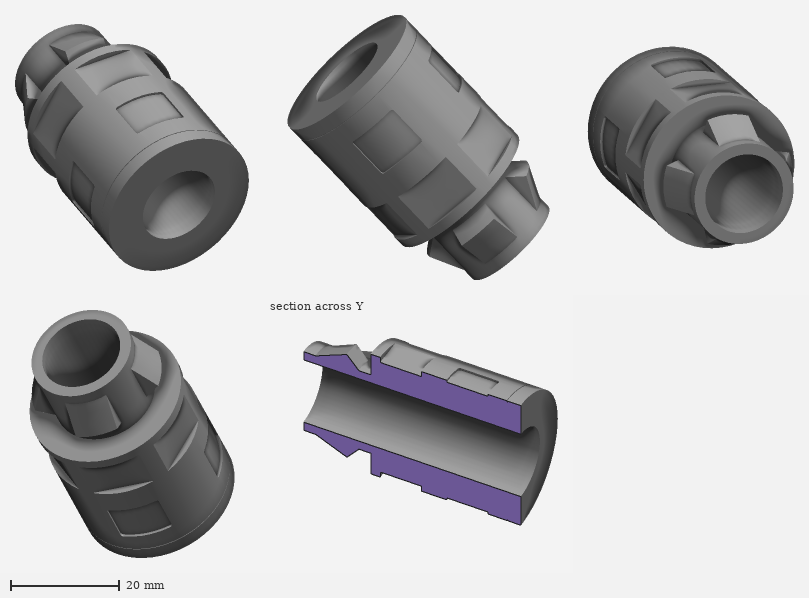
import cadquery as cq

total_length = 45.3
spigot_length = 14.0
flats_start = 16.0
recess_start = 29.85
seam_start = 42.35

bore_diameter = 15.2
spigot_diameter = 19.4
body_diameter = 29.5
recess_floor_diameter = 28.5
seam_floor_diameter = 29.1

flat_count = 6
across_flats = 27.0
flats_length = 8.5

recess_count = 4
recess_length = 8.5
recess_width = 10.0
recess_corner_radius = 0.5

barb_count = 4
barb_width = 8.0
barb_start = 2.5
barb_crest = 9.0
barb_end = 11.5
barb_crest_diameter = 25.3

seam_width = 0.15


def cylinder(diameter, start, length):
    """Solid cylinder on the X axis, beginning at x = start."""
    return cq.Workplane("YZ").workplane(offset=start).circle(diameter / 2).extrude(length)


def around_axis(shape, count):
    """Copies of a shape spaced evenly around the X axis."""
    step = 360 / count
    return [shape.rotate((0, 0, 0), (1, 0, 0), i * step) for i in range(count)]


def make_barb():
    """Barb on the +Z side: a double cone trimmed to a parallel-sided strip."""
    root_radius = bore_diameter / 2
    surface_radius = spigot_diameter / 2
    crest_radius = barb_crest_diameter / 2
    cone = (
        cq.Workplane("XZ")
        .moveTo(barb_start, root_radius)
        .lineTo(barb_start, surface_radius)
        .lineTo(barb_crest, crest_radius)
        .lineTo(barb_end, surface_radius)
        .lineTo(barb_end, root_radius)
        .close()
        .revolve(360, (0, 0, 0), (1, 0, 0))
    )
    strip = cq.Workplane("XY").box(
        total_length, barb_width, body_diameter, centered=(False, True, False)
    )
    return cone.intersect(strip)


def make_flat_cutter():
    """Block above the +Z wrench flat."""
    return (
        cq.Workplane("XY")
        .box(flats_length, body_diameter, body_diameter, centered=(False, True, False))
        .translate((flats_start, 0, across_flats / 2))
    )


def make_recess_cutter():
    """Rounded-corner block on the +Z side, hollowed to leave a cylindrical recess floor."""
    block = (
        cq.Workplane("XY")
        .box(recess_length, recess_width, body_diameter, centered=(False, True, False))
        .edges("|Z")
        .fillet(recess_corner_radius)
        .translate((recess_start, 0, 0))
    )
    return block.cut(cylinder(recess_floor_diameter, 0, total_length))


spigot = cylinder(spigot_diameter, 0, spigot_length)
body = cylinder(body_diameter, spigot_length, total_length - spigot_length)
result = spigot.union(body)
for barb in around_axis(make_barb(), barb_count):
    result = result.union(barb)

for cutter in around_axis(make_flat_cutter(), flat_count):
    result = result.cut(cutter)
for cutter in around_axis(make_recess_cutter(), recess_count):
    result = result.cut(cutter)

seam = cylinder(body_diameter, seam_start, seam_width).cut(
    cylinder(seam_floor_diameter, seam_start, seam_width)
)
result = result.cut(seam)

result = result.cut(cylinder(bore_diameter, 0, total_length))